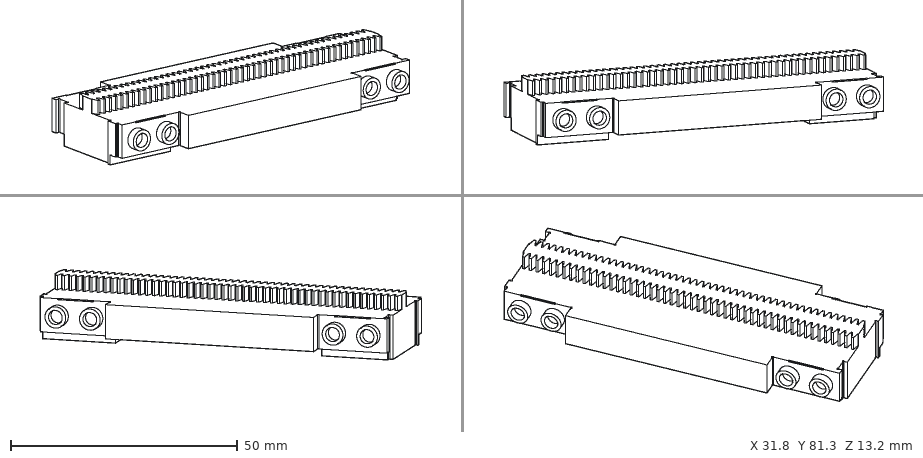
import cadquery as cq

end_length = 80.1
wide_width = 31.8
narrow_width = 25.3
wide_length = 48.1
keel_width = 18.35
keel_gap = 47.6
keel_height = 2.3
plate_height = 7.7
rack_height = 3.25
plate_top = keel_height + plate_height

tooth_count = 50
rack_tip_width = 6.65
rack_root_width = 3.25
tooth_tip_land = 0.5
tooth_root_land = 0.3
tooth_pitch = end_length / tooth_count

pin_diameter = 4.8
pin_bore_diameter = 3.2
pin_span = 29.2
pin_bore_depth = (pin_span - narrow_width) / 2
pin_embed = 0.8
pin_spacing = 7.95
pin_pair_center = 32.0
pin_z = keel_height + plate_height / 2

rebate_length = 8.3
rebate_size = 0.25

joint_center = 9.75
tongue_width = 2.8
tongue_height = 0.6
notch_width = 3.0
notch_depth = 1.0

relief_radius = 0.2


def box(width, length, height, x, y, z):
    """Box centred on x and y, standing on z."""
    return cq.Workplane("XY").box(width, length, height, (True, True, False)).translate((x, y, z))


def make_block():
    narrow = box(narrow_width, end_length, plate_height, 0, 0, keel_height)
    wide = box(wide_width, wide_length, plate_height, 0, 0, keel_height)
    block = narrow.union(wide)
    keel_length = (end_length - keel_gap) / 2
    keel_y = (end_length + keel_gap) / 4
    for side in (-1, 1):
        block = block.union(box(keel_width, keel_length, keel_height, 0, side * keel_y, 0))
    return block


def make_rack():
    """Rack with a tooth root at each end, its teeth mirrored on both sides."""
    root_x = rack_root_width / 2
    tip_x = rack_tip_width / 2
    right_side = [(root_x, -end_length / 2)]
    for tooth in range(tooth_count):
        start = -end_length / 2 + tooth * tooth_pitch
        center = start + tooth_pitch / 2
        right_side += [
            (root_x, start + tooth_root_land / 2),
            (tip_x, center - tooth_tip_land / 2),
            (tip_x, center + tooth_tip_land / 2),
            (root_x, start + tooth_pitch - tooth_root_land / 2),
        ]
    right_side.append((root_x, end_length / 2))
    left_side = [(-x, y) for x, y in reversed(right_side)]
    outline = cq.Workplane("XY").workplane(offset=plate_top).polyline(right_side + left_side).close()
    return outline.extrude(rack_height)


def cylinder_along_x(diameter, x_start, x_end, y):
    return (
        cq.Workplane("YZ").workplane(offset=x_start)
        .center(y, pin_z).circle(diameter / 2).extrude(x_end - x_start)
    )


def add_pins(body):
    face_x = pin_span / 2
    pin_start = narrow_width / 2 - pin_embed
    for side in (-1, 1):
        for pair in (-1, 1):
            for offset in (-pin_spacing / 2, pin_spacing / 2):
                y = pair * pin_pair_center + offset
                body = body.union(cylinder_along_x(pin_diameter, side * pin_start, side * face_x, y))
                bore_end = side * (face_x - pin_bore_depth)
                body = body.cut(cylinder_along_x(pin_bore_diameter, bore_end, side * face_x, y))
    return body


def cut_rebates(body):
    for side in (-1, 1):
        for pair in (-1, 1):
            rebate = box(
                2 * rebate_size, rebate_length, rebate_size,
                side * narrow_width / 2, pair * pin_pair_center, plate_top - rebate_size,
            )
            body = body.cut(rebate)
    return body


def inside_cross_section(shape):
    """Part of the shape inside the stepped profile of plate and keel."""
    plate = box(wide_width, 2 * end_length, plate_height, 0, 0, keel_height)
    keel = box(keel_width, 2 * end_length, keel_height, 0, 0, 0)
    return shape.intersect(plate.union(keel))


def add_end_joints(body):
    """Tongue and notch on the +Y end, repeated half a turn around on the -Y end."""
    end_y = end_length / 2
    tongue = inside_cross_section(
        box(tongue_width, 2 * tongue_height, plate_top, -joint_center, end_y, 0)
    )
    notch = box(notch_width, 2 * notch_depth, plate_top, joint_center, end_y, 0)
    for turn in (0, 180):
        body = body.cut(notch.rotate((0, 0, 0), (0, 0, 1), turn))
        body = body.union(tongue.rotate((0, 0, 0), (0, 0, 1), turn))
    return body


def cut_corner_reliefs(body):
    """Upright round reliefs at the side steps, tongue bases and notch floors."""
    end_y = end_length / 2
    corners = []
    for side in (-1, 1):
        corners += [
            (narrow_width / 2, side * wide_length / 2),
            (-joint_center + side * tongue_width / 2, end_y),
            (joint_center + side * notch_width / 2, end_y - notch_depth),
        ]
    corners += [(-x, -y) for x, y in corners]
    return body.cut(cq.Workplane("XY").pushPoints(corners).circle(relief_radius).extrude(plate_top))


body = make_block().union(make_rack())
body = cut_rebates(body)
body = add_pins(body)
body = add_end_joints(body)
result = cut_corner_reliefs(body)